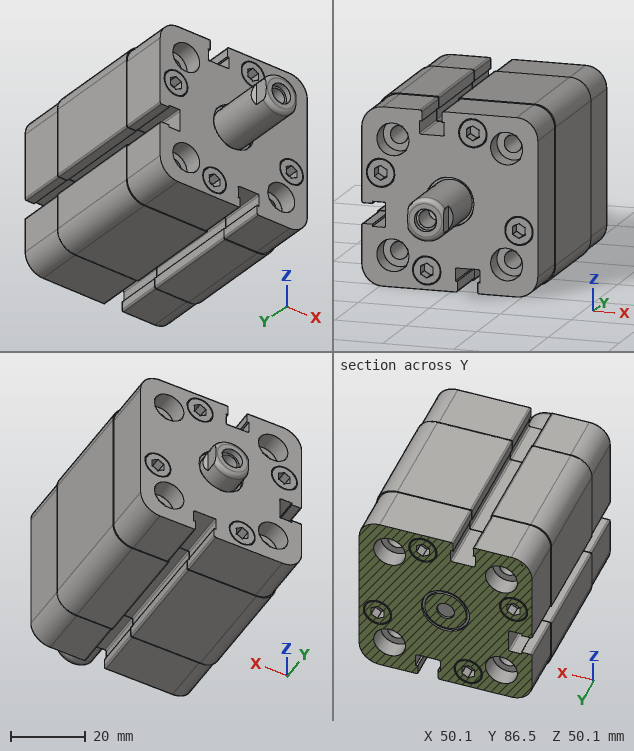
import cadquery as cq
import math

overall_length = 86.5
front_rod_length = 20.9
rear_rod_length = 6.05
cap_length = 14.5

tube_side = 50.1
cap_inset = 0.3
corner_radius = 6.0

slot_offset = 5.0
slot_depth = 6.8
slot_lip = 3.3
slot_neck_width = 5.45
slot_inner_width = 6.7
slot_mouth_radius = 0.5
slot_floor_radius = 0.4
cap_slot_clearance = 0.13

mount_spacing = 32.0
mount_hole_diameter = 4.9
mount_bore_diameter = 9.0
mount_bore_depth = 5.5

screw_x = 6.5
screw_z = 19.5
screw_recess_diameter = 8.0
screw_head_diameter = 7.5
screw_gap_depth = 0.9
screw_socket_width = 3.55
screw_socket_depth = 3.5

rod_diameter = 12.0
rod_seat_diameter = 13.6
rod_seat_depth = 1.0
rod_end_radius = 1.4
rod_flat_width = 10.0
rod_flat_length = 4.4
thread_diameter = 4.9
thread_depth = 10.4
thread_relief_diameter = 6.2
thread_relief_depth = 1.8
drill_point_angle = 118.0

screw_places = [(screw_x, screw_z), (-screw_z, screw_x), (-screw_x, -screw_z), (screw_z, -screw_x)]

front_end = -overall_length / 2
rear_end = overall_length / 2
front_face = front_end + front_rod_length
rear_face = rear_end - rear_rod_length
tube_front = front_face + cap_length
tube_rear = rear_face - cap_length


def plane_at(y, into=1):
    """Sketch plane across Y, whose extrusions run towards +Y (into=1) or -Y (into=-1)."""
    return cq.Workplane(cq.Plane(origin=(0, y, 0), xDir=(into, 0, 0), normal=(0, into, 0)))


def cylinder(y, length, diameter, into=1):
    """Cylinder on the Y axis."""
    return plane_at(y, into).circle(diameter / 2).extrude(length)


def turned(solid, quarter_turns):
    """Solid turned about Y, anticlockwise as seen from the front."""
    return solid.rotate((0, 0, 0), (0, -1, 0), 90 * quarter_turns)


def slot_cutter(y, length, top, clearance):
    """Space of the upper T-slot, with rounded mouth edges and floor corners."""
    half_neck = slot_neck_width / 2 + clearance
    half_inner = slot_inner_width / 2 + clearance
    half_mouth = half_neck + slot_mouth_radius
    lip_bottom = tube_side / 2 - slot_lip
    floor = tube_side / 2 - slot_depth - clearance
    half_floor = half_inner - slot_floor_radius
    floor_round_end = floor + slot_floor_radius
    above = top + slot_mouth_radius
    round_start = top - slot_mouth_radius
    profile = (
        cq.Workplane("XZ", origin=(-slot_offset, y, 0))
        .moveTo(-half_floor, floor)
        .radiusArc((-half_inner, floor_round_end), slot_floor_radius)
        .lineTo(-half_inner, lip_bottom)
        .lineTo(-half_neck, lip_bottom)
        .lineTo(-half_neck, round_start)
        .radiusArc((-half_mouth, top), -slot_mouth_radius)
        .lineTo(-half_mouth, above)
        .lineTo(half_mouth, above)
        .lineTo(half_mouth, top)
        .radiusArc((half_neck, round_start), -slot_mouth_radius)
        .lineTo(half_neck, lip_bottom)
        .lineTo(half_inner, lip_bottom)
        .lineTo(half_inner, floor_round_end)
        .radiusArc((half_floor, floor), slot_floor_radius)
        .close()
    )
    return profile.extrude(-length)


def slotted_block(y, length, inset, clearance):
    """Rounded square bar with T-slots in its top, left and bottom sides."""
    side = tube_side - 2 * inset
    block = plane_at(y).rect(side, side).extrude(length)
    block = block.edges("|Y").fillet(corner_radius)
    slot = slot_cutter(y, length, side / 2, clearance)
    for quarter_turns in range(3):
        block = block.cut(turned(slot, quarter_turns))
    return block


def screw_cutter(y, into):
    """Gap around a screw head and its hexagon socket."""
    gap = cylinder(y, screw_gap_depth, screw_recess_diameter, into)
    gap = gap.cut(cylinder(y, screw_gap_depth, screw_head_diameter, into))
    across_corners = screw_socket_width / math.cos(math.pi / 6)
    socket = plane_at(y, into).polygon(6, across_corners).extrude(screw_socket_depth)
    return gap.union(turned(socket, 1))


def cut_cap_face(body, y, into):
    """Counterbores, cap screws and rod seat in one cap face."""
    bores = (
        plane_at(y, into)
        .rect(mount_spacing, mount_spacing, forConstruction=True)
        .vertices()
        .circle(mount_bore_diameter / 2)
        .extrude(mount_bore_depth)
    )
    body = body.cut(bores)
    screw = screw_cutter(y, into)
    for x, z in screw_places:
        body = body.cut(screw.translate((x, 0, z)))
    return body.cut(cylinder(y, rod_seat_depth, rod_seat_diameter, into))


def housing():
    """Tube and caps, with the mounting holes running right through."""
    body = slotted_block(tube_front, tube_rear - tube_front, 0, 0)
    for y in (front_face, tube_rear):
        body = body.union(slotted_block(y, cap_length, cap_inset, cap_slot_clearance))
    holes = (
        plane_at(front_face)
        .rect(mount_spacing, mount_spacing, forConstruction=True)
        .vertices()
        .circle(mount_hole_diameter / 2)
        .extrude(rear_face - front_face)
    )
    body = body.cut(holes)
    body = cut_cap_face(body, front_face, 1)
    return cut_cap_face(body, rear_face, -1)


def flat_cutter(y, into):
    """Space beside the rod that leaves one wrench flat on +X, ending in a 45 degree slope."""
    flat = rod_flat_width / 2
    rod_radius = rod_diameter / 2
    flat_end = y + into * rod_flat_length
    slope_end = flat_end + into * (rod_radius - flat)
    outline = [(flat, y), (flat, flat_end), (rod_radius, slope_end), (rod_radius, y)]
    return cq.Workplane("XY").polyline(outline).close().extrude(rod_radius, both=True)


def thread_cutter(y, into):
    """Stepped blind hole in a rod end, closed by a drill point."""
    radius = thread_diameter / 2
    relief_radius = thread_relief_diameter / 2
    point_length = radius / math.tan(math.radians(drill_point_angle / 2))
    relief_end = y + into * thread_relief_depth
    thread_end = y + into * thread_depth
    half_section = [
        (0, y),
        (relief_radius, y),
        (relief_radius, relief_end),
        (radius, relief_end),
        (radius, thread_end),
        (0, thread_end + into * point_length),
    ]
    return cq.Workplane("XY").polyline(half_section).close().revolve(360, (0, 0, 0), (0, 1, 0))


def piston_rod():
    """Rod through the whole cylinder, both ends rounded, flattened and drilled."""
    rod = cylinder(front_end, overall_length, rod_diameter)
    rod = rod.faces("<Y or >Y").edges().fillet(rod_end_radius)
    for y, into in ((front_end, 1), (rear_end, -1)):
        flat = flat_cutter(y, into)
        rod = rod.cut(flat).cut(turned(flat, 2))
        rod = rod.cut(thread_cutter(y, into))
    return rod


result = housing().union(piston_rod())